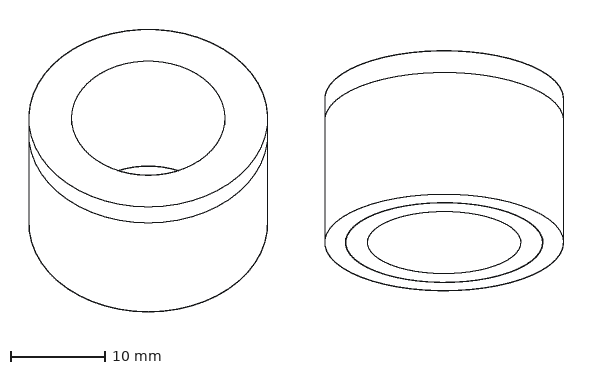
import cadquery as cq

outer_diameter = 25.4
total_height = 16.7
flange_height = 2.55
bore_diameter = 16.3
spigot_diameter = 20.9
sleeve_bore_diameter = 21.0

sleeve_height = total_height - flange_height


def make_sleeve():
    """Plain outer sleeve that carries the flange of the bush."""
    return (
        cq.Workplane("XY")
        .circle(outer_diameter / 2)
        .circle(sleeve_bore_diameter / 2)
        .extrude(sleeve_height)
    )


def make_bush():
    """Flanged bush whose spigot runs down through the sleeve with a small clearance."""
    spigot = cq.Workplane("XY").circle(spigot_diameter / 2).extrude(sleeve_height)
    flange = (
        cq.Workplane("XY")
        .workplane(offset=sleeve_height)
        .circle(outer_diameter / 2)
        .extrude(flange_height)
    )
    bore = cq.Workplane("XY").circle(bore_diameter / 2).extrude(total_height)
    return spigot.union(flange).cut(bore)


sleeve = make_sleeve()
bush = make_bush()

result = cq.Compound.makeCompound([sleeve.val(), bush.solids().val()])